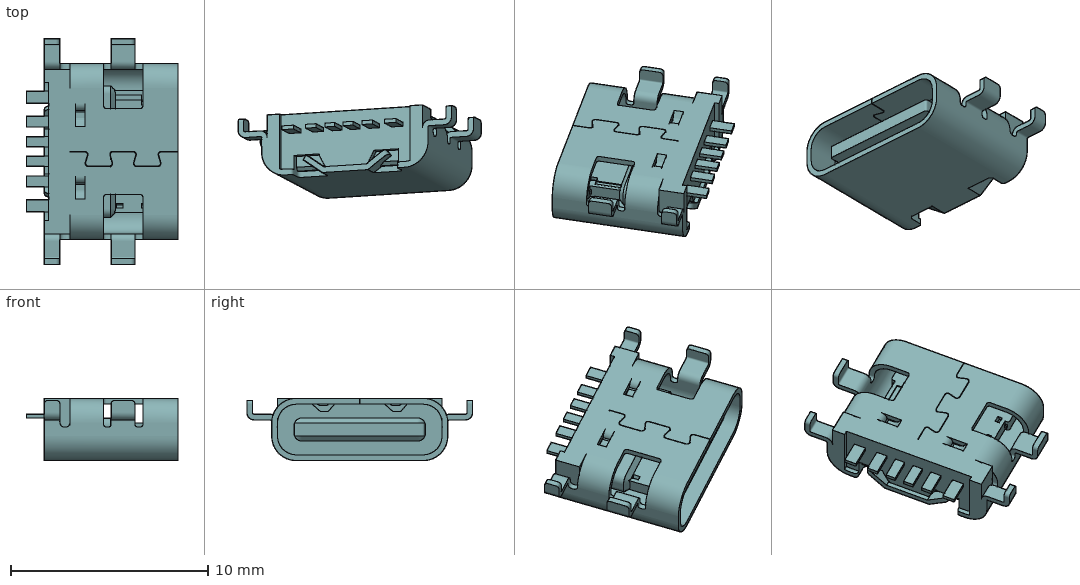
import cadquery as cq
import math

shell_length = 6.79
shell_width = 8.93
shell_height = 3.16
sheet = 0.3
corner_radius = 1.25
inner_radius = corner_radius - sheet
inner_half_width = shell_width / 2 - sheet
mid_height = shell_height / 2
overall_width = 11.45

block_length = 1.3
recess_depth = 0.23
recess_width = 6.98

slot_bottom = 1.71
rear_slot_radius = 0.22
side_slot_radius = 0.14
tab_root = shell_height - corner_radius
tab_shelf = 2.06
tab_tip = 3.06
tab_bend = 0.08
tab_corner = 0.2
rear_tab = (0.0, 0.8)
side_tab = (3.39, 4.6)

opening = (3.01, 5.0)
opening_inner_y = 2.18
opening_corner = 0.15

margin = 0.57


def box(x_range, y_range, z_range):
    """Axis-aligned box from its coordinate ranges."""
    (x0, x1), (y0, y1), (z0, z1) = x_range, y_range, z_range
    return cq.Workplane("XY").box(x1 - x0, y1 - y0, z1 - z0, centered=False).translate((x0, y0, z0))


def both_sides(solid):
    """The solid together with its mirror image across the plane Y = 0."""
    return solid.union(solid.mirror("XZ"))


def rounded_bar(x_start, length, width, height, radius, taper=0):
    """Bar along X with a rounded rectangular section centred in the shell."""
    section = cq.Sketch().rect(width, height).vertices().fillet(radius)
    return (
        cq.Workplane("YZ", origin=(x_start, 0, mid_height))
        .placeSketch(section)
        .extrude(length, taper=taper)
    )


def shell_tube():
    outer = rounded_bar(0, shell_length, shell_width, shell_height, corner_radius)
    inner = rounded_bar(0, shell_length, 2 * inner_half_width, shell_height - 2 * sheet, inner_radius)
    return outer.cut(inner)


def relief_slot(x_range, radius):
    """Upright slot through the side wall with a rounded bottom."""
    y_range = (shell_width / 2 - corner_radius, shell_width / 2 + margin)
    slot = box(x_range, y_range, (slot_bottom, shell_height + margin))
    return slot.edges("|Y and <Z").fillet(radius)


def rear_cutout():
    slot = relief_slot((rear_tab[1], block_length), rear_slot_radius)
    over_tab = box((-margin, rear_tab[1]), (0, shell_width), (tab_root, shell_height + margin))
    top = box((-margin, block_length), (0, shell_width), (tab_root + sheet, shell_height + margin))
    return both_sides(slot.union(over_tab).union(top))


def side_opening():
    top = box(opening, (opening_inner_y, shell_width), (tab_root, shell_height + margin))
    top = top.edges("|Z and <Y").fillet(opening_corner)
    rear_slot = relief_slot((opening[0], side_tab[0]), side_slot_radius)
    front_slot = relief_slot((side_tab[1], opening[1]), side_slot_radius)
    return both_sides(top.union(rear_slot).union(front_slot))


def tab(x_range):
    """Solder tab: side wall bent outward into a shelf, then upward to a rounded tip."""
    outer_bend = tab_bend + sheet
    wall_out = shell_width / 2
    shelf_top = tab_shelf + sheet
    tip_out = overall_width / 2
    tip_in = tip_out - sheet
    bend_start = tab_shelf - tab_bend
    bend_end = shelf_top + tab_bend
    profile = (
        cq.Workplane("YZ", origin=(x_range[0], 0, 0))
        .moveTo(wall_out, slot_bottom)
        .lineTo(wall_out, bend_start)
        .radiusArc((wall_out + tab_bend, tab_shelf), tab_bend)
        .lineTo(tip_in - tab_bend, tab_shelf)
        .radiusArc((tip_out, bend_end), -outer_bend)
        .lineTo(tip_out, tab_tip)
        .lineTo(tip_in, tab_tip)
        .lineTo(tip_in, bend_end)
        .radiusArc((tip_in - tab_bend, shelf_top), tab_bend)
        .lineTo(wall_out + tab_bend, shelf_top)
        .radiusArc((inner_half_width, bend_start), -outer_bend)
        .lineTo(inner_half_width, slot_bottom)
        .close()
        .extrude(x_range[1] - x_range[0])
    )
    return both_sides(profile.edges("|Y and >Z").fillet(tab_corner))


def seam_gap():
    """Narrow dovetailed gap where the two edges of the wrapped sheet meet on top."""
    gap = 0.02
    first_dovetail = 2.77
    dovetail_pitch = 2.45
    neck_half = 0.5
    head_half = 0.72
    dovetail_depth = 0.74
    bend = 0.15
    points = [(-margin, 0)]
    for centre in (first_dovetail, first_dovetail + dovetail_pitch):
        points += [
            (centre - neck_half, 0),
            (centre - head_half, -dovetail_depth),
            (centre + head_half, -dovetail_depth),
            (centre + neck_half, 0),
        ]
    points += [
        (shell_length + margin, 0),
        (shell_length + margin, shell_width),
        (-margin, shell_width),
    ]
    joined_half = cq.Sketch().polygon(points + points[:1]).vertices().fillet(bend)
    cut_plane = cq.Workplane("XY", origin=(0, 0, shell_height - 1.5 * sheet))
    inner = cut_plane.placeSketch(joined_half).extrude(2 * sheet)
    outline = inner.faces("<Z").wires().val()
    outer = cq.Workplane("XY").add(outline).toPending().offset2D(gap).extrude(2 * sheet)
    return outer.cut(inner)


spring_x = (1.59, 2.07)
spring_length = 1.13
spring_centres = (1.83, -1.84)
spring_drop = 0.37


def spring_window(centre):
    y_range = (centre - spring_length / 2, centre + spring_length / 2)
    return box(spring_x, y_range, (shell_height - 1.5 * sheet, shell_height + margin))


def spring_strip(centre):
    """Strip that dips in a curve at its +Y end and rises along a slope at its -Y end."""
    y_low = centre - spring_length / 2
    y_high = centre + spring_length / 2
    curve = 0.32
    slope_foot = ((0.41, 0), (0.33, 0.02), (0.26, 0.07))
    floor = shell_height - spring_drop
    foot = 0.08
    return (
        cq.Workplane("YZ", origin=(spring_x[0], 0, 0))
        .moveTo(y_high, shell_height)
        .radiusArc((y_high - curve, shell_height - curve), -curve)
        .lineTo(y_high - curve - foot, floor)
        .polyline([(y_low + run, floor + rise) for run, rise in slope_foot], includeCurrent=True)
        .lineTo(y_low, shell_height)
        .lineTo(y_low, shell_height - sheet)
        .lineTo(y_low + slope_foot[0][0], floor - sheet)
        .lineTo(y_high - curve, floor - sheet)
        .lineTo(y_high, shell_height - sheet)
        .close()
        .extrude(spring_x[1] - spring_x[0])
    )


notch_depth = 0.92
notch_half_width = 2.79
notch_rim_radius = 0.15
notch_back_radius = 0.21
tongue_flat_half = 1.24
tongue_angle = math.radians(35.4)
tongue_rise_length = 1.3
tongue_corner = 0.23


def floor_notch():
    """Slot on each side of the bent tongue, rounded at its back corner and at the rear rim."""
    z_range = (-margin, 1.5 * sheet)
    rim_end = notch_half_width + notch_rim_radius
    slot = box((-margin, notch_depth), (tongue_flat_half, notch_half_width), z_range)
    slot = slot.edges("|Z and >X and >Y").fillet(notch_back_radius)
    rim = box((0, notch_rim_radius), (notch_half_width, rim_end), z_range)
    rim_round = (
        cq.Workplane("XY", origin=(notch_rim_radius, rim_end, -margin))
        .circle(notch_rim_radius)
        .extrude(2 * margin)
    )
    return both_sides(slot.union(rim.cut(rim_round)))


def bent_arms():
    """Arms that rise outward from the flat middle of the tongue, rounded at the rear tip."""
    along_y = math.cos(tongue_angle)
    along_z = math.sin(tongue_angle)
    inner_flat = tongue_flat_half - sheet * math.tan(tongue_angle / 2)
    tip_y = tongue_flat_half + tongue_rise_length * along_y
    tip_z = tongue_rise_length * along_z
    arm = (
        cq.Workplane("YZ")
        .polyline([
            (inner_flat, 0),
            (tongue_flat_half, 0),
            (tip_y, tip_z),
            (tip_y - sheet * along_z, tip_z + sheet * along_y),
            (inner_flat, sheet),
        ])
        .close()
        .extrude(notch_depth)
    )
    tip_face = arm.faces(cq.selectors.DirectionMinMaxSelector(cq.Vector(0, along_y, along_z)))
    rounded_arm = tip_face.edges("<X").fillet(tongue_corner)
    return both_sides(rounded_arm)


def rear_block():
    block = box((0, block_length), (-inner_half_width, inner_half_width), (sheet, shell_height))
    block = block.edges("|X and <Z").fillet(inner_radius)
    recess_y = (-recess_width / 2, recess_width / 2)
    recess = box((-margin, recess_depth), recess_y, (0, shell_height + margin))
    return block.cut(recess)


def arm_pocket():
    """Pocket in the insulator that clears a bent arm, sloped toward the middle."""
    outer_y = 2.79
    top_inner_y = 1.49
    bottom_inner_y = 1.11
    top = 1.02
    depth = 0.57
    chamfer = 0.17
    pocket = (
        cq.Workplane("YZ")
        .polyline([(bottom_inner_y, sheet), (outer_y, sheet), (outer_y, top), (top_inner_y, top)])
        .close()
        .extrude(depth)
    )
    lip = (
        cq.Workplane("XZ")
        .polyline([
            (depth, sheet),
            (depth + chamfer, sheet),
            (depth, sheet + chamfer),
        ])
        .close()
        .extrude(bottom_inner_y - outer_y)
        .translate((0, bottom_inner_y, 0))
    )
    return both_sides(pocket.union(lip))


step_width = 6.66
step_height = 1.17
step_radius = 0.4
step_end = 3.37
step_taper = 0.25
blade_half_width = step_width / 2 - step_taper
blade_half_height = step_height / 2 - step_taper
blade_top = mid_height + blade_half_height
blade_end = 6.3
head_start = 5.15
head_half_width = 3.3
head_corner = 0.11
midplate_start = 5.06
midplate_half_width = 3.21
midplate = 0.18
hole_depth = 0.18
hole_length = 0.33
hole_slope = 0.08
rear_hole_x = 3.65
front_hole_x = 4.93
hole_places = (
    (rear_hole_x, -2.85, -2.62),
    (front_hole_x, -2.85, -2.62),
    (front_hole_x, -1.44, -1.21),
    (front_hole_x, 2.35, 2.61),
)
groove_y = (2.61, 2.86)
groove_depth = 0.06


def contact_hole(x, y_low, y_high):
    """Blind hole in the top of the blade whose +Y wall slopes inward."""
    floor = blade_top - hole_depth
    return (
        cq.Workplane("YZ", origin=(x, 0, 0))
        .polyline([(y_low, blade_top), (y_low, floor), (y_high - hole_slope, floor), (y_high, blade_top)])
        .close()
        .extrude(hole_length)
    )


def mating_tongue():
    z_range = (mid_height - blade_half_height, blade_top)
    step = rounded_bar(block_length, step_end - block_length, step_width, step_height, step_radius)
    step = step.union(rounded_bar(step_end, step_taper, step_width, step_height, step_radius, taper=45))
    blade = box((step_end, head_start), (-blade_half_width, blade_half_width), z_range)
    plate = box(
        (midplate_start, head_start),
        (-midplate_half_width, midplate_half_width),
        (mid_height - midplate / 2, mid_height + midplate / 2),
    )
    head = box((head_start, blade_end), (-head_half_width, head_half_width), z_range)
    head = head.edges("|Z").fillet(head_corner)
    tongue = step.union(blade).union(plate).union(head)
    for x, y_low, y_high in hole_places:
        tongue = tongue.cut(contact_hole(x, y_low, y_high))
    groove_z = (blade_top - groove_depth, blade_top + margin)
    groove = box((step_end + step_taper, front_hole_x), groove_y, groove_z)
    return tongue.cut(groove)


pin_reach = 0.9
pin_z = (2.16, 2.36)
pin_places = ((0.49, 0.52), (1.51, 0.56), (2.75, 0.62))


def pins():
    row = cq.Workplane("XY")
    for centre, width in pin_places:
        row = row.add(box((-pin_reach, recess_depth), (centre - width / 2, centre + width / 2), pin_z))
    return both_sides(row.combine())


shell = shell_tube().cut(rear_cutout()).cut(side_opening()).cut(seam_gap()).cut(floor_notch())
for spring_centre in spring_centres:
    shell = shell.cut(spring_window(spring_centre)).union(spring_strip(spring_centre))
shell = shell.union(tab(rear_tab)).union(tab(side_tab)).union(bent_arms())

insulator = rear_block().cut(arm_pocket()).union(mating_tongue())
result = shell.union(insulator).union(pins())